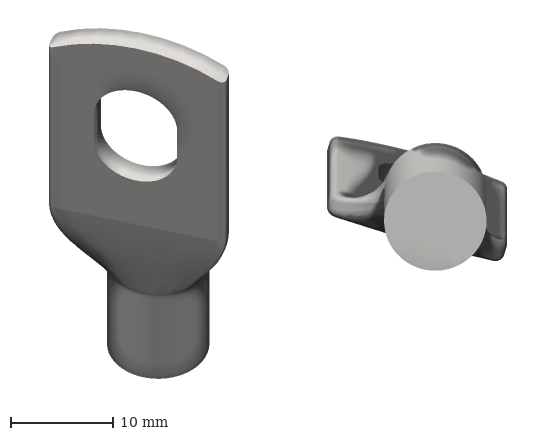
import cadquery as cq
import math

total_height = 46.8
palm_width = 18.0
total_depth = 12.7

barrel_radius = 5.0
barrel_height = 11.25

palm_thickness = 2.3
palm_start = 23.05
palm_shoulder = 44.3
edge_radius = 0.7
palm_front = barrel_radius - total_depth
palm_back = palm_front + palm_thickness
half_width = palm_width / 2

slot_width = 8.45
slot_length = 12.05
slot_center = 35.0

section_count = 7
width_end_slope = 0.9
offset_end_slope = 1.33
barrel_angles = [48, 56, 64, 70]


def blend(t, end_slope):
    """Cubic from 0 to 1 with zero slope at t = 0 and end_slope at t = 1."""
    return 3 * t**2 - 2 * t**3 + end_slope * (t**3 - t**2)


def mirrored_loop(right_side, front_mid, back_mid):
    """Complete a half outline with its mirror image, front to back and around."""
    left_side = [(-x, y) for x, y in reversed(right_side)]
    return [front_mid] + right_side + [back_mid] + left_side


def palm_points():
    """Edge ends and midpoints, alternating, around the palm cross-section."""
    corner_inset = edge_radius * (1 - math.sqrt(0.5))
    right_side = [
        (half_width - edge_radius, palm_front),
        (half_width - corner_inset, palm_front + corner_inset),
        (half_width, palm_front + edge_radius),
        (half_width, palm_front + palm_thickness / 2),
        (half_width, palm_back - edge_radius),
        (half_width - corner_inset, palm_back - corner_inset),
        (half_width - edge_radius, palm_back),
    ]
    return mirrored_loop(right_side, (0, palm_front), (0, palm_back))


def barrel_points():
    """Points on the barrel circle that correspond to the palm points."""
    angles = [barrel_angles[0]]
    for previous, current in zip(barrel_angles, barrel_angles[1:]):
        angles += [(previous + current) / 2, current]
    right_side = []
    for angle in angles:
        a = math.radians(angle)
        right_side.append((barrel_radius * math.sin(a), -barrel_radius * math.cos(a)))
    return mirrored_loop(right_side, (0, -barrel_radius), (0, barrel_radius))


def transition_section(t):
    """Closed wire at fraction t of the way down from the palm to the barrel."""
    width_share = blend(t, width_end_slope)
    offset_share = blend(t, offset_end_slope)
    z = palm_start + t * (barrel_height - palm_start)
    points = []
    for (palm_x, palm_y), (barrel_x, barrel_y) in zip(palm_points(), barrel_points()):
        x = palm_x + width_share * (barrel_x - palm_x)
        y = palm_y + offset_share * (barrel_y - palm_y)
        points.append(cq.Vector(x, y, z))
    edges = []
    for i in range(1, len(points), 2):
        start = points[i]
        middle = points[(i + 1) % len(points)]
        end = points[(i + 2) % len(points)]
        is_straight = t == 0 and (start.x == end.x or start.y == end.y)
        if is_straight:
            edges.append(cq.Edge.makeLine(start, end))
        else:
            edges.append(cq.Edge.makeThreePointArc(start, middle, end))
    return cq.Wire.assembleEdges(edges)


def make_transition():
    sections = [transition_section(i / (section_count - 1)) for i in range(section_count)]
    return cq.Workplane(cq.Solid.makeLoft(sections))


def make_palm():
    blank = (
        cq.Workplane("XY", origin=(0, palm_front + palm_thickness / 2, palm_start))
        .rect(palm_width, palm_thickness)
        .extrude(total_height - palm_start)
        .edges("|Z")
        .fillet(edge_radius)
    )
    outline = (
        cq.Workplane("XZ", origin=(0, palm_back, 0))
        .moveTo(-half_width, palm_start)
        .lineTo(-half_width, palm_shoulder)
        .threePointArc((0, total_height), (half_width, palm_shoulder))
        .lineTo(half_width, palm_start)
        .close()
        .extrude(palm_thickness)
    )
    slot = (
        cq.Workplane("XZ", origin=(0, palm_back, slot_center))
        .slot2D(slot_length, slot_width, 90)
        .extrude(palm_thickness)
    )
    return blank.intersect(outline).cut(slot)


barrel = cq.Workplane("XY").circle(barrel_radius).extrude(barrel_height)
result = barrel.union(make_transition()).union(make_palm())